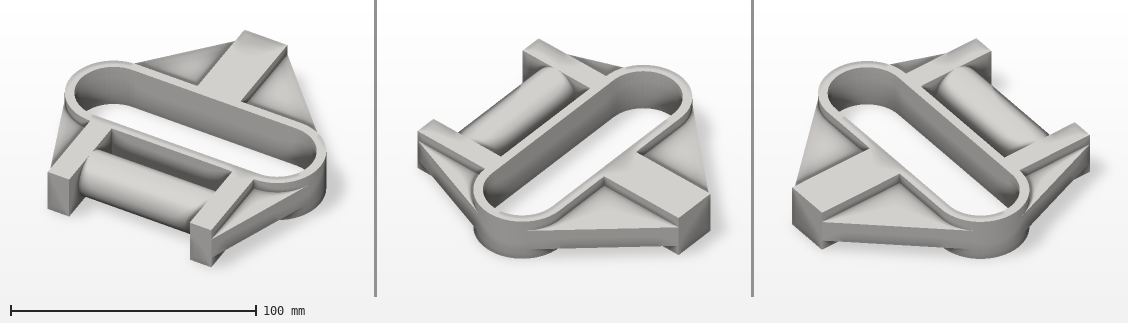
import cadquery as cq
import math

thickness = 20.0
ring_length = 116.0
ring_width = 40.0
wall = 4.0
outer_radius = ring_width / 2
arc_center_x = ring_length / 2 - outer_radius

total_depth = 116.2
tongue_width = 20.0
tongue_length = 40.0
fork_arm_width = 10.0
fork_length = total_depth - ring_width - tongue_length
tongue_end_y = outer_radius + tongue_length
fork_end_y = -outer_radius - fork_length
fork_center_x = arc_center_x - fork_arm_width / 2

bar_diameter = 20.0
bar_y = -outer_radius - fork_length / 2

web_thickness = 10.0


def block(width, center_x, start_y, end_y):
    """Full-thickness arm between two Y positions."""
    return cq.Workplane("XY").box(width, end_y - start_y, thickness).translate(
        (center_x, (start_y + end_y) / 2, 0)
    )


def web(corner_x, corner_y, root_x, side):
    """Web from an arm's outer corner, with its edge tangent to the ring's end arc.

    root_x is the arm's centre line, so the web overlaps the arm.
    side is +1 or -1 for the ring end in +X or -X.
    """
    from_center_x = corner_x - arc_center_x
    distance = math.hypot(from_center_x, corner_y)
    direction = math.atan2(corner_y, from_center_x)
    turn = math.acos(outer_radius / distance)
    tangent_angle = direction - math.copysign(turn, corner_y)
    tangent_x = arc_center_x + outer_radius * math.cos(tangent_angle)
    tangent_y = outer_radius * math.sin(tangent_angle)
    outline = [
        (side * corner_x, corner_y),
        (side * tangent_x, tangent_y),
        (side * arc_center_x, 0),
        (side * root_x, 0),
    ]
    return (
        cq.Workplane("XY")
        .polyline(outline)
        .close()
        .extrude(web_thickness / 2, both=True)
    )


ring = cq.Workplane("XY").slot2D(ring_length, ring_width).extrude(thickness / 2, both=True)
opening = (
    cq.Workplane("XY")
    .slot2D(ring_length - 2 * wall, ring_width - 2 * wall)
    .extrude(thickness / 2, both=True)
)

tongue = block(tongue_width, 0, 0, tongue_end_y)
body = ring.union(tongue)

for side in (-1, 1):
    fork_arm = block(fork_arm_width, side * fork_center_x, fork_end_y, 0)
    body = body.union(fork_arm)
    body = body.union(web(tongue_width / 2, tongue_end_y, 0, side))
    body = body.union(web(arc_center_x, fork_end_y, fork_center_x, side))

crossbar = (
    cq.Workplane("YZ")
    .center(bar_y, 0)
    .circle(bar_diameter / 2)
    .extrude(fork_center_x, both=True)
)

result = body.cut(opening).union(crossbar)